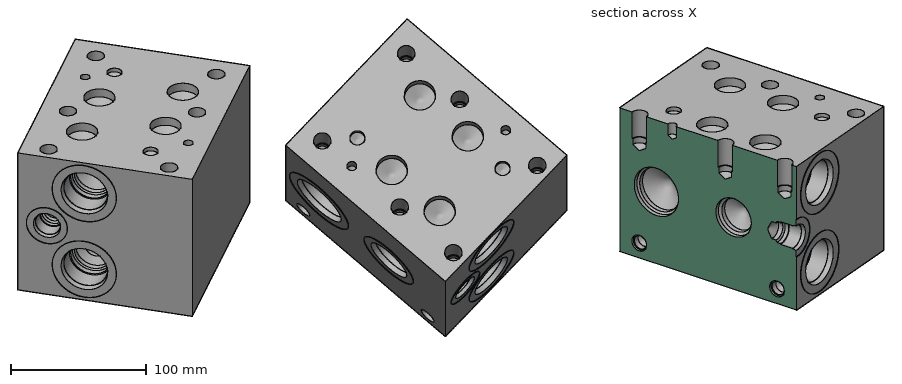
import cadquery as cq
import math

length_x = 133.4
length_y = 158.8
height = 120.6

drill_point_angle = 118.0
seat_angle = 24.0

bolt_left_x = 20.6
bolt_right_x = bolt_left_x + 92.0
bolt_back_y = 61.6
bolt_front_y = bolt_back_y - 130.2
row_pin = bolt_back_y - 29.4
row_right_bolt = bolt_back_y - 53.2
row_left_bolt = bolt_back_y - 77.0
row_front_passage = bolt_back_y - 100.8
bolt_places = [
    (bolt_left_x, bolt_back_y),
    (bolt_right_x, bolt_back_y),
    (bolt_right_x, row_right_bolt),
    (bolt_left_x, row_left_bolt),
    (bolt_left_x, bolt_front_y),
    (bolt_right_x, bolt_front_y),
]

tapped_thread_diameter = 12.7
tapped_thread_depth = 22.2
tapped_drill_depth = 27.0
bolt_drill_diameter = 11.1
mount_drill_diameter = 10.8

passage_diameter = 23.0
passage_depth = 7.0
passage_inset = 17.5
left_passage_x = bolt_left_x + passage_inset
right_passage_x = bolt_right_x - passage_inset
passage_places = [
    (left_passage_x, row_right_bolt),
    (left_passage_x, row_front_passage),
    (right_passage_x, row_pin),
    (right_passage_x, row_left_bolt),
]

pilot_diameter = 11.1
pilot_depth = 3.2
pilot_places = [(39.7, 44.0), (93.8, -51.3)]
pin_diameter = 7.1
pin_depth = 9.5
pin_places = [(bolt_left_x, row_pin), (117.5, -32.9)]

spotface_depth = 0.5
middle_port = dict(
    spotface=49.0, mouth=35.5, seat_end=33.8, thread=33.3, tap_drill=31.3,
    thread_depth=19.0, tap_depth=23.5, drill_depth=28.5,
)
large_port = dict(
    spotface=58.5, mouth=43.7, seat_end=41.9, thread=41.5, tap_drill=39.2,
    thread_depth=19.0, tap_depth=23.8, drill_depth=28.5,
)
small_port = dict(
    spotface=31.3, mouth=20.6, seat_end=19.4, thread=18.9, tap_drill=17.6,
    thread_depth=14.3, tap_depth=17.5, drill_depth=22.2,
)
work_drill_diameter = 28.5
drain_drill_diameter = 14.3
tank_drill_diameter = 35.7
pressure_drill_diameter = 27.0

mid_height = height / 2
work_port_x = 50.8
work_port_offset = 33.3
upper_work_place = (work_port_x, mid_height + work_port_offset)
lower_work_place = (work_port_x, mid_height - work_port_offset)
drain_place = (22.2, mid_height)

extension_diameter = 16.8
extension_depth = 39.7
extension_point_angle = 40.0

tank_place = (46.4, mid_height)
pressure_place = (-22.9, mid_height)
mount_y = 61.8
mount_z = 12.5

top_face = cq.Plane(origin=(0, 0, height), xDir=(1, 0, 0), normal=(0, 0, 1))
front_face = cq.Plane(origin=(0, -length_y / 2, 0), xDir=(1, 0, 0), normal=(0, -1, 0))
left_face = cq.Plane(origin=(0, 0, 0), xDir=(0, -1, 0), normal=(-1, 0, 0))


def on_left_face(y, z):
    """Local place on the left face, whose horizontal direction is -Y."""
    return (-y, z)


def taper_length(large, small, included_angle):
    """Axial length of a cone between two diameters."""
    return (large - small) / 2 / math.tan(math.radians(included_angle / 2))


def bore(face, place, steps, point_angle=drill_point_angle):
    """Turned cutter going down into a face; steps are (diameter, depth) from the mouth to the point."""
    last_diameter, last_depth = steps[-1]
    tip_depth = last_depth + taper_length(last_diameter, 0, point_angle)
    wall = [(diameter / 2, -depth) for diameter, depth in steps]
    section = cq.Plane(
        origin=face.toWorldCoords(place),
        xDir=face.xDir,
        normal=face.xDir.cross(face.zDir),
    )
    outline = cq.Workplane(section).polyline([(0, 0), *wall, (0, -tip_depth)]).close()
    return outline.revolve(360, (0, 0), (0, 1))


def plain_hole(face, place, diameter, depth, point_angle=drill_point_angle):
    """Blind hole of one diameter."""
    return bore(face, place, [(diameter, 0), (diameter, depth)], point_angle)


def tapped_hole(face, place, drill):
    """Blind threaded hole with its narrower drill going on below the thread."""
    return bore(face, place, [
        (tapped_thread_diameter, 0),
        (tapped_thread_diameter, tapped_thread_depth),
        (drill, tapped_thread_depth),
        (drill, tapped_drill_depth),
    ])


def port(
    face, place, drill, spotface, mouth, seat_end, thread, tap_drill,
    thread_depth, tap_depth, drill_depth,
):
    """Threaded port: spotface, tapered sealing seat, thread, tap drill and drill."""
    seat_bottom = spotface_depth + taper_length(mouth, seat_end, seat_angle)
    drill_start = tap_depth + taper_length(tap_drill, drill, drill_point_angle)
    return bore(face, place, [
        (spotface, 0),
        (spotface, spotface_depth),
        (mouth, spotface_depth),
        (seat_end, seat_bottom),
        (thread, seat_bottom),
        (thread, thread_depth),
        (tap_drill, thread_depth),
        (tap_drill, tap_depth),
        (drill, drill_start),
        (drill, drill_depth),
    ])


cutters = [tapped_hole(top_face, place, bolt_drill_diameter) for place in bolt_places]
cutters += [plain_hole(top_face, place, passage_diameter, passage_depth) for place in passage_places]
cutters += [plain_hole(top_face, place, pilot_diameter, pilot_depth) for place in pilot_places]
cutters += [plain_hole(top_face, place, pin_diameter, pin_depth) for place in pin_places]

for place in (upper_work_place, lower_work_place):
    cutters.append(port(front_face, place, work_drill_diameter, **middle_port))
cutters.append(plain_hole(
    front_face, lower_work_place, extension_diameter, extension_depth, extension_point_angle,
))
cutters.append(port(front_face, drain_place, drain_drill_diameter, **small_port))

cutters.append(port(left_face, on_left_face(*tank_place), tank_drill_diameter, **large_port))
cutters.append(port(left_face, on_left_face(*pressure_place), pressure_drill_diameter, **middle_port))
for y in (-mount_y, mount_y):
    cutters.append(tapped_hole(left_face, on_left_face(y, mount_z), mount_drill_diameter))

result = cq.Workplane("XY").box(length_x, length_y, height, centered=(False, True, False))
for cutter in cutters:
    result = result.cut(cutter)